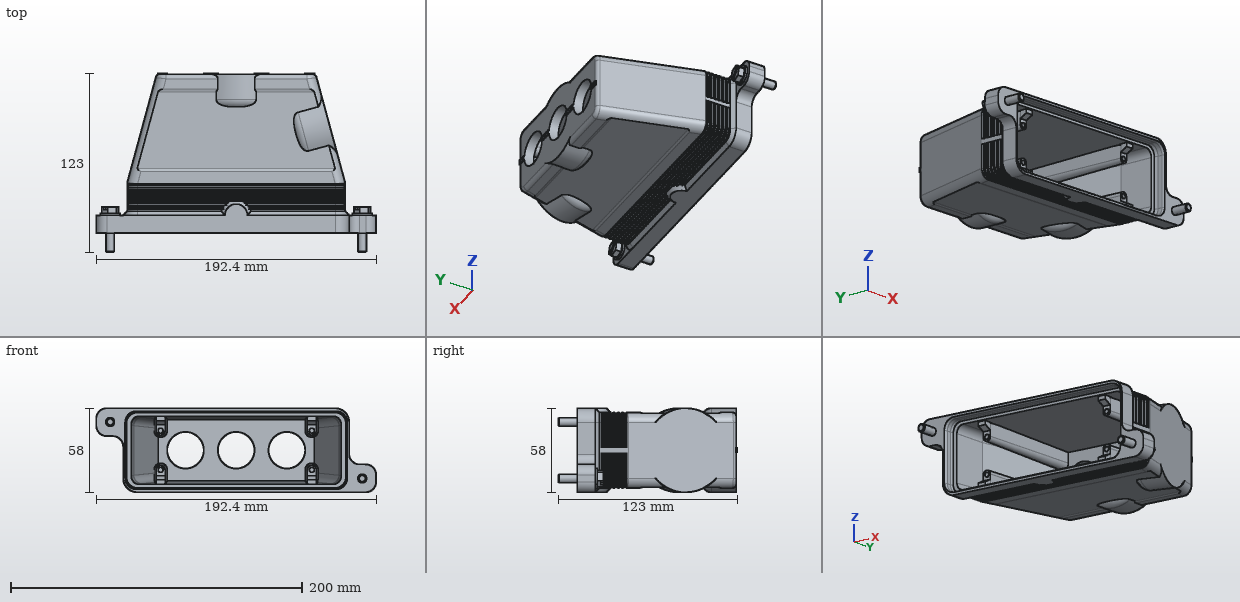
import cadquery as cq
import math

flange_half_x = 77.8
flange_width = 58.0
flange_half_z = flange_width / 2
flange_height = 12.3
flange_corner_radius = 9.8

ear_reach = 96.2
ear_inner_z = 9.6
ear_corner_radius = 7.3
ear_root_radius = 7.0

flare = 2.9
body_half_x = flange_half_x - flare
body_half_z = flange_half_z - flare
shoulder_y = 35.0
end_y = 109.3
side_angle = 15.2
body_corner_radius = 7.0
end_edge_radius = 3.0

groove_count = 6
groove_width = 2.7
groove_floor_width = 0.5
groove_depth = 0.8
first_groove_y = 17.7
last_groove_y = 32.7
groove_pitch = (last_groove_y - first_groove_y) / (groove_count - 1)
groove_break_half = 2.0

panel_depth = 0.5
panel_start_y = 42.7
panel_end_y = 99.1
panel_ramp = 2.0

bulge_radius = flange_half_z
bulge_edge_radius = 5.8
end_bulge_length = 23.1
side_bulge_length = 24.5
side_bulge_y = 74.7

stop_tip_radius = 7.7

rib_half_x = 53.9
rib_half_z = 1.5
rib_top_y = 110.0
cable_hole_diameter = 25.0
cable_hole_pitch = 34.8

mouth_half_x = 76.5
mouth_half_z = 27.0
mouth_corner_radius = 8.0
mouth_inset = 0.5
lead_in_y = 2.3
seat_end_y = 6.0
ledge_y = 8.7
cavity_half_x = 72.2
cavity_half_z = 23.5
cavity_shoulder_half_x = 70.5
cavity_floor_y = 102.0
floor_half_x = 53.5
floor_half_z = 21.0
cavity_corner_radius = 5.8

post_x = 52.0
post_z = 13.5
post_face_y = 16.2
post_root_radius = 4.6
post_face_radius = 3.0
post_wall_z = 24.5
post_hole_diameter = 3.5
post_hole_depth = 15.4
tab_y = 10.5
ramp_start_z = 17.5
ramp_end_z = 20.5

screw_x = 86.6
screw_z = 19.5
shank_diameter = 6.0
shank_tip_y = -13.0
tip_chamfer = 0.8
washer_diameter = 13.9
washer_thickness = 1.5
head_height = 4.2
head_corner_diameter = 12.0
head_turn = 46.3
slot_width = 2.0
slot_depth = 2.0

overlap = 1.0
slope = math.tan(math.radians(side_angle))


def plane_at(y):
    """Work plane at height y, facing +Y, with local x along X and local y along -Z."""
    return cq.Workplane(cq.Plane((0, y, 0), (1, 0, 0), (0, 1, 0)))


def rounded_block(half_x, half_z, radius, y_low, y_high):
    block = plane_at(y_low).rect(2 * half_x, 2 * half_z).extrude(y_high - y_low)
    return block.edges("|Y").fillet(radius)


def rounded_frustum(low, high):
    """Solid tapering between two (y, half_x, half_z, radius) rounded rectangles."""
    sections = []
    for y, half_x, half_z, radius in (low, high):
        outline = cq.Sketch().rect(2 * half_x, 2 * half_z).vertices().fillet(radius)
        sections.append(outline.moved(cq.Location(cq.Vector(0, 0, y))))
    return plane_at(0).placeSketch(*sections).loft(ruled=True)


def side_x(y):
    """Half width of the sloping hood sides at height y."""
    return body_half_x - (y - shoulder_y) * slope


def both_ends(feature):
    """The feature together with its half-turn copy about the Y axis."""
    return feature.union(feature.rotate((0, 0, 0), (0, 1, 0), 180))


def mirrored_z(feature):
    return feature.union(feature.mirror("XY"))


def make_flange():
    base = rounded_block(flange_half_x, flange_half_z, flange_corner_radius, 0, flange_height)
    ear = (
        plane_at(0)
        .moveTo(0, -flange_half_z)
        .lineTo(-ear_reach + ear_corner_radius, -flange_half_z)
        .radiusArc((-ear_reach, -flange_half_z + ear_corner_radius), ear_corner_radius)
        .lineTo(-ear_reach, -ear_inner_z - ear_corner_radius)
        .radiusArc((-ear_reach + ear_corner_radius, -ear_inner_z), ear_corner_radius)
        .lineTo(-flange_half_x - ear_root_radius, -ear_inner_z)
        .radiusArc((-flange_half_x, -ear_inner_z + ear_root_radius), -ear_root_radius)
        .lineTo(0, -ear_inner_z + ear_root_radius)
        .close()
        .extrude(flange_height)
    )
    flare_block = rounded_frustum(
        (flange_height, flange_half_x, flange_half_z, flange_corner_radius),
        (flange_height + flare, body_half_x, body_half_z, body_corner_radius),
    )
    return base.union(both_ends(ear)).union(flare_block)


def make_hood():
    hood = (
        cq.Workplane("XY")
        .polyline([
            (-body_half_x, 0),
            (body_half_x, 0),
            (body_half_x, shoulder_y),
            (side_x(end_y), end_y),
            (-side_x(end_y), end_y),
            (-body_half_x, shoulder_y),
        ])
        .close()
        .extrude(body_half_z, both=True)
    )
    hood = hood.edges("not |Z").edges("not |X").fillet(body_corner_radius)
    return hood.faces(">Y").edges().fillet(end_edge_radius)


def make_grooves():
    outer = (body_half_x, body_half_z, body_corner_radius)
    inner = tuple(size - groove_depth for size in outer)
    grooves = cq.Workplane()
    for index in range(groove_count):
        middle = first_groove_y + index * groove_pitch
        low = middle - groove_width / 2
        high = middle + groove_width / 2
        floor_low = middle - groove_floor_width / 2
        floor_high = middle + groove_floor_width / 2
        ring = plane_at(low).rect(2 * flange_half_x, 2 * flange_half_z).extrude(groove_width)
        core = (
            rounded_frustum((low, *outer), (floor_low, *inner))
            .union(rounded_block(*inner, floor_low, floor_high))
            .union(rounded_frustum((floor_high, *inner), (high, *outer)))
        )
        grooves.add(ring.cut(core))
    bars = cq.Workplane().box(2 * ear_reach, 2 * end_y, 2 * groove_break_half)
    return grooves.combine().cut(bars)


def make_panel_recess():
    floor_z = body_half_z - panel_depth
    recess = (
        cq.Workplane("YZ")
        .polyline([
            (panel_start_y, body_half_z),
            (panel_start_y + panel_ramp, floor_z),
            (panel_end_y - panel_ramp, floor_z),
            (panel_end_y, body_half_z),
        ])
        .close()
        .extrude(body_half_x, both=True)
    )
    return mirrored_z(recess)


def make_bulge(length):
    """Round-nosed cylinder along -Y, its flat end centred on the origin."""
    bulge = plane_at(-length).circle(bulge_radius).extrude(length)
    return bulge.faces("<Y").edges().fillet(bulge_edge_radius)


def make_bulges():
    end_bulge = make_bulge(end_bulge_length).translate((0, end_y, 0))
    side_bulge = (
        make_bulge(side_bulge_length)
        .rotate((0, 0, 0), (0, 0, 1), side_angle - 90)
        .translate((side_x(side_bulge_y), side_bulge_y, 0))
    )
    return end_bulge.union(side_bulge)


def make_stops():
    cone = cq.Solid.makeCone(
        stop_tip_radius + flare, stop_tip_radius, flare, cq.Vector(0, flange_height, body_half_z)
    )
    return mirrored_z(cq.Workplane(cone))


def make_parting_rib():
    rib = plane_at(end_y - overlap).rect(2 * rib_half_x, 2 * rib_half_z)
    return rib.extrude(rib_top_y - end_y + overlap)


def mouth_section(y, inset):
    return y, mouth_half_x - inset, mouth_half_z - inset, mouth_corner_radius - inset


def make_mouth():
    lead_in = rounded_frustum(mouth_section(0, 0), mouth_section(lead_in_y, mouth_inset))
    _, half_x, half_z, radius = mouth_section(lead_in_y, mouth_inset)
    seat = rounded_block(half_x, half_z, radius, lead_in_y, seat_end_y)
    taper = rounded_frustum(
        mouth_section(seat_end_y, mouth_inset),
        mouth_section(ledge_y, 2 * mouth_inset),
    )
    return lead_in.union(seat).union(taper)


def make_cavity():
    plan = (
        cq.Workplane("XY")
        .polyline([
            (-cavity_half_x, ledge_y),
            (cavity_half_x, ledge_y),
            (cavity_shoulder_half_x, shoulder_y),
            (floor_half_x, cavity_floor_y),
            (-floor_half_x, cavity_floor_y),
            (-cavity_shoulder_half_x, shoulder_y),
        ])
        .close()
        .extrude(cavity_half_z, both=True)
    )
    profile = (
        cq.Workplane("YZ")
        .polyline([
            (ledge_y, -cavity_half_z),
            (ledge_y, cavity_half_z),
            (cavity_floor_y, floor_half_z),
            (cavity_floor_y, -floor_half_z),
        ])
        .close()
        .extrude(cavity_half_x, both=True)
    )
    cavity = plan.intersect(profile)
    return cavity.edges("not |Z").edges("not |X").fillet(cavity_corner_radius)


def make_post():
    """Post against the +Z wall at X = post_x."""
    root_y = cavity_floor_y + overlap
    length = root_y - post_face_y
    draft = math.degrees(math.atan((post_root_radius - post_face_radius) / length))
    column = (
        cq.Workplane("XZ", origin=(post_x, root_y, 0))
        .moveTo(-post_root_radius, post_wall_z)
        .lineTo(-post_root_radius, post_z)
        .threePointArc((0, post_z - post_root_radius), (post_root_radius, post_z))
        .lineTo(post_root_radius, post_wall_z)
        .close()
        .extrude(length, taper=draft)
    )
    tab = (
        cq.Workplane("YZ", origin=(post_x, 0, 0))
        .polyline([
            (post_face_y + overlap, ramp_start_z),
            (post_face_y, ramp_start_z),
            (tab_y, ramp_end_z),
            (tab_y, post_wall_z),
            (post_face_y + overlap, post_wall_z),
        ])
        .close()
        .extrude(post_face_radius, both=True)
    )
    hole = (
        plane_at(post_face_y)
        .center(post_x, -post_z)
        .circle(post_hole_diameter / 2)
        .extrude(post_hole_depth)
    )
    return column.union(tab).cut(hole)


def make_posts():
    pair = mirrored_z(make_post())
    return pair.union(pair.mirror("YZ")).intersect(make_hood())


def make_cable_holes():
    centres = [(index * cable_hole_pitch, 0) for index in (-1, 0, 1)]
    holes = plane_at(cavity_floor_y - overlap).pushPoints(centres).circle(cable_hole_diameter / 2)
    return holes.extrude(rib_top_y - cavity_floor_y + 2 * overlap)


def make_screw(x, z):
    washer_top = flange_height + washer_thickness
    shank = plane_at(shank_tip_y).circle(shank_diameter / 2).extrude(flange_height - shank_tip_y)
    shank = shank.faces("<Y").chamfer(tip_chamfer)
    washer = plane_at(flange_height).circle(washer_diameter / 2).extrude(washer_thickness)
    head = plane_at(washer_top).polygon(6, head_corner_diameter).extrude(head_height)
    slot = (
        plane_at(washer_top + head_height - slot_depth)
        .rect(slot_width, 2 * head_corner_diameter)
        .extrude(slot_depth)
    )
    screw = shank.union(washer).union(head.cut(slot))
    return screw.rotate((0, 0, 0), (0, 1, 0), -head_turn).translate((x, 0, z))


hood = make_hood().cut(make_grooves()).cut(make_panel_recess()).union(make_bulges())
result = hood.union(make_flange()).union(make_stops()).union(make_parting_rib())
result = result.cut(make_mouth()).cut(make_cavity()).cut(make_cable_holes())
result = result.union(make_posts())
for side in (-1, 1):
    result = result.union(make_screw(side * screw_x, -side * screw_z))